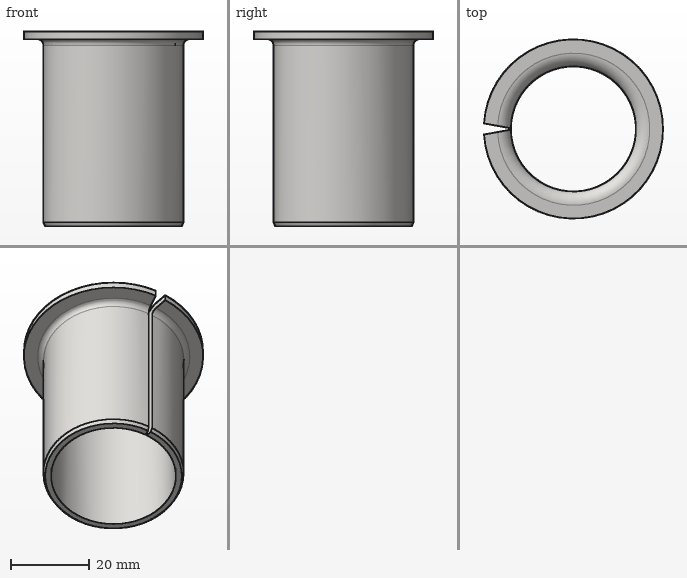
import cadquery as cq
import math

height = 50.0
flange_radius = 23.0
bore_radius = 16.0
wall = 2.0
outer_bend_radius = 1.5
chamfer_height = 1.1
chamfer_width = 0.5
slit_apex_radius = 15.25
slit_half_angle = 10.3

tube_radius = bore_radius + wall
inner_bend_radius = outer_bend_radius + wall
bend_center_radius = tube_radius + outer_bend_radius
bend_center_z = height - inner_bend_radius
flange_bottom = height - wall


def bend_midpoint(radius):
    """Middle of a quarter-circle bend between the tube and the flange."""
    offset = radius * math.sqrt(0.5)
    return (bend_center_radius - offset, bend_center_z + offset)


def flanged_tube():
    """Tube with a constant wall that bends outward into a flange, revolved about Z."""
    profile = (
        cq.Workplane("XZ")
        .moveTo(bore_radius, 0)
        .lineTo(tube_radius - chamfer_width, 0)
        .lineTo(tube_radius, chamfer_height)
        .lineTo(tube_radius, bend_center_z)
        .threePointArc(bend_midpoint(outer_bend_radius), (bend_center_radius, flange_bottom))
        .lineTo(flange_radius, flange_bottom)
        .lineTo(flange_radius, height)
        .lineTo(bend_center_radius, height)
        .threePointArc(bend_midpoint(inner_bend_radius), (bore_radius, bend_center_z))
        .close()
    )
    tube = profile.revolve(360, (0, 0), (0, 1))
    return tube.rotate((0, 0, 0), (0, 0, 1), 180)


def slit():
    """Full-height wedge on the -X side that opens outward through wall and flange."""
    outer_end = flange_radius + wall
    half_width = (outer_end - slit_apex_radius) * math.tan(math.radians(slit_half_angle))
    corners = [
        (-slit_apex_radius, 0),
        (-outer_end, half_width),
        (-outer_end, -half_width),
    ]
    return cq.Workplane("XY").polyline(corners).close().extrude(height)


result = flanged_tube().cut(slit())